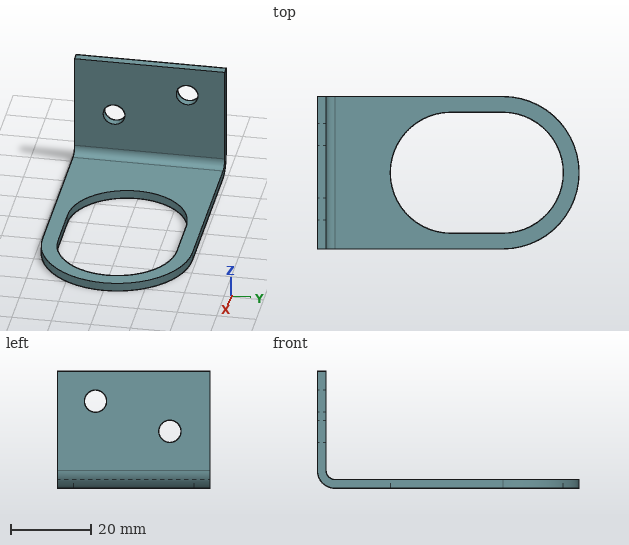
import cadquery as cq

length = 65.2
width = 38.0
height = 29.2
thickness = 2.2
inner_bend_radius = 2.2
rim_width = 4.0
slot_length = 43.0
hole_diameter = 5.5
hole_positions = [(9.5, 21.7), (-9.0, 14.2)]

outer_bend_radius = inner_bend_radius + thickness
end_radius = width / 2
slot_width = width - 2 * rim_width
slot_center_x = length - rim_width - slot_length / 2


def bent_sheet():
    """L-shaped sheet with concentric inner and outer bends along Y."""
    sheet = (
        cq.Workplane("XZ")
        .polyline([(0, 0), (length, 0), (length, thickness), (thickness, thickness),
                   (thickness, height), (0, height)])
        .close()
        .extrude(width / 2, both=True)
    )
    inner_corner = cq.selectors.NearestToPointSelector((thickness, 0, thickness))
    outer_corner = cq.selectors.NearestToPointSelector((0, 0, 0))
    sheet = sheet.edges("|Y").edges(inner_corner).fillet(inner_bend_radius)
    return sheet.edges("|Y").edges(outer_corner).fillet(outer_bend_radius)


def rounded_outline():
    """Full-height block whose +X end is a half circle across the width."""
    straight_length = length - end_radius
    return (
        cq.Workplane("XY")
        .moveTo(0, -width / 2)
        .lineTo(straight_length, -width / 2)
        .threePointArc((length, 0), (straight_length, width / 2))
        .lineTo(0, width / 2)
        .close()
        .extrude(height)
    )


def base_slot():
    """Cutter for the large round-ended opening in the base."""
    return cq.Workplane("XY").center(slot_center_x, 0).slot2D(slot_length, slot_width).extrude(thickness)


def flange_holes():
    """Cutters for the holes through the upright flange."""
    return cq.Workplane("YZ").pushPoints(hole_positions).circle(hole_diameter / 2).extrude(thickness)


result = bent_sheet().intersect(rounded_outline()).cut(base_slot()).cut(flange_holes())